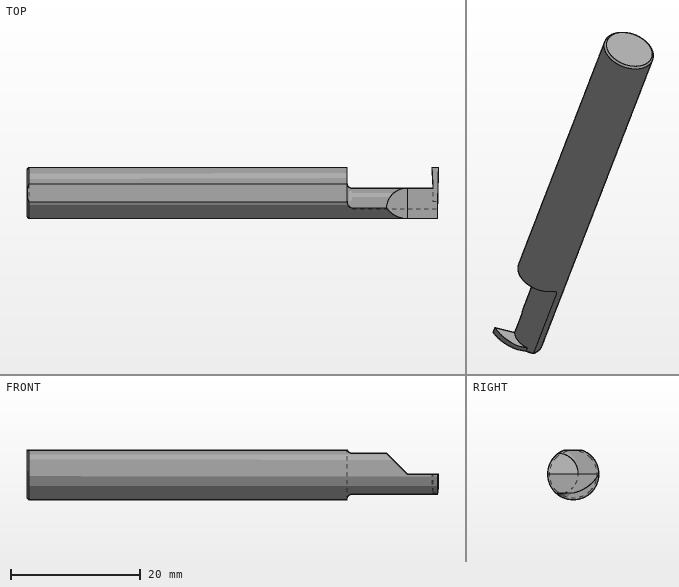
import cadquery as cq
import math

overall_length = 63.5
shank_radius = 3.965
flat_height = 3.715
end_chamfer = 0.3
shank_end_x = 49.4

neck_radius = 3.175
neck_axis_z = 0.07
neck_side_y = 0.75
neck_axis_y = neck_side_y - neck_radius
neck_fillet = 0.75

rake_z = 0.0
runout_foot_x = 58.7
runout_angle = 45.0

end_setback = 0.15
end_face_x = overall_length - end_setback
hook_tip_y = shank_radius
hook_tip_width = 1.05
hook_root_width = 0.72
hook_heel_y = 0.0
hook_heel_z = -2.9
hook_relief_mid_y = 2.72
hook_relief_mid_z = -1.53


def make_bar():
    """Round bar with a chamfered rear end."""
    bar = cq.Workplane("YZ").circle(shank_radius).extrude(end_face_x)
    return bar.faces("<X").chamfer(end_chamfer)


def cut_clamping_flat(body):
    """Mill the flat along the top of the bar."""
    flat_cutter = cq.Workplane("XY").box(
        overall_length, 2 * shank_radius, shank_radius, centered=(False, True, False)
    )
    return body.cut(flat_cutter.translate((0, 0, flat_height)))


def make_neck_envelope():
    """Eccentric neck cylinder, flared by a fillet into a disc that clears the shank."""
    clear_radius = 3 * shank_radius
    fillet_mid = neck_fillet * (1 - math.sqrt(0.5))
    return (
        cq.Workplane("XY", origin=(0, neck_axis_y, neck_axis_z))
        .lineTo(0, -clear_radius)
        .lineTo(shank_end_x, -clear_radius)
        .lineTo(shank_end_x, -neck_radius - neck_fillet)
        .threePointArc(
            (shank_end_x + fillet_mid, -neck_radius - fillet_mid),
            (shank_end_x + neck_fillet, -neck_radius),
        )
        .lineTo(overall_length, -neck_radius)
        .lineTo(overall_length, 0)
        .close()
        .revolve(360, (0, 0, 0), (1, 0, 0))
    )


def cut_rake_face(body):
    """Remove everything above the rake face and its sloped run-out."""
    top_z = 2 * shank_radius
    run = (top_z - rake_z) / math.tan(math.radians(runout_angle))
    cutter = (
        cq.Workplane("XZ")
        .moveTo(runout_foot_x, rake_z)
        .lineTo(runout_foot_x - run, top_z)
        .lineTo(overall_length, top_z)
        .lineTo(overall_length, rake_z)
        .close()
        .extrude(shank_radius, both=True)
    )
    return body.cut(cutter)


def make_hook():
    """Thin hook whose underside curves away from the cutting tip."""
    plan = (
        cq.Workplane("XY", origin=(0, 0, -shank_radius))
        .moveTo(end_face_x, neck_axis_y)
        .lineTo(overall_length, hook_tip_y)
        .lineTo(overall_length - hook_tip_width, hook_tip_y)
        .lineTo(end_face_x - hook_root_width, neck_side_y)
        .lineTo(end_face_x - hook_root_width, neck_axis_y)
        .close()
        .extrude(shank_radius + rake_z)
    )
    relief_section = (
        cq.Workplane("YZ")
        .moveTo(neck_axis_y, rake_z)
        .lineTo(hook_tip_y, rake_z)
        .threePointArc((hook_relief_mid_y, hook_relief_mid_z), (hook_heel_y, hook_heel_z))
        .lineTo(neck_axis_y, hook_heel_z)
        .close()
        .extrude(overall_length)
    )
    return plan.intersect(relief_section)


body = cut_clamping_flat(make_bar()).intersect(make_neck_envelope())
body = cut_rake_face(body)
result = body.union(make_hook())